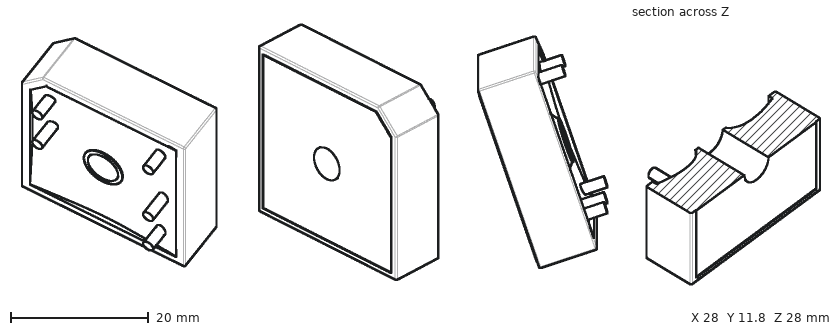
import cadquery as cq
import math


side = 28.0
total_depth = 11.8
pin_length = 2.8
corner_cut = 3.65
edge_round = 0.25

rim_width = 1.48
plate_inset = 1.0
plate_step = 0.1

hole_diameter = 5.18
tube_diameter = 6.6
pin_diameter = 1.75
pin_offset_x = 9.5
pin_outer_z = 9.0
pin_inner_z = 2.02

potting_depth_at_tube = 0.17
potting_depth_at_corner = 0.05
potting_points = [(5.05, 1.3), (7.28, 1.6), (9.72, 1.4), (12.6, 0.75), (15.4, 0.35)]

pin_tip_y = -total_depth / 2
rim_y = pin_tip_y + pin_length
plate_y = total_depth / 2
case_back_y = plate_y - plate_step
inside_y = (rim_y + case_back_y) / 2


def cut_corner_block(inset, front_y, back_y):
    """Square block along Y, evenly inset from the case outline, with its -X, +Z corner cut."""
    width = side - 2 * inset
    corner_leg = corner_cut - inset * (2 - math.sqrt(2))
    block = cq.Workplane("XY").box(width, back_y - front_y, width)
    block = block.edges("|Y").edges("<X and >Z").chamfer(corner_leg)
    return block.translate((0, (front_y + back_y) / 2, 0))


def rod(diameter, x, z, front_y, back_y):
    """Cylinder along Y centred on x, z."""
    length = back_y - front_y
    return cq.Workplane("XZ", origin=(x, back_y, z)).circle(diameter / 2).extrude(length)


def potting_hollow():
    """Space between the rim plane and the potting surface, bounded by the tube and the cavity walls."""
    tube_radius = tube_diameter / 2
    corner_radius = math.sqrt(2) * (side / 2 - rim_width)
    surface = [(radius, rim_y + depth) for radius, depth in potting_points]
    surface.append((corner_radius, rim_y + potting_depth_at_corner))
    bowl = (
        cq.Workplane("XY")
        .moveTo(tube_radius, rim_y)
        .lineTo(tube_radius, rim_y + potting_depth_at_tube)
        .spline(surface, includeCurrent=True)
        .lineTo(corner_radius, rim_y)
        .close()
        .revolve(360, (0, 0, 0), (0, 1, 0))
    )
    return bowl.intersect(cut_corner_block(rim_width, rim_y, inside_y))


case = cut_corner_block(0, rim_y, case_back_y).edges().fillet(edge_round)
result = case.cut(potting_hollow())

result = result.union(cut_corner_block(plate_inset, inside_y, plate_y))

pin_places = [
    (-pin_offset_x, pin_outer_z),
    (-pin_offset_x, pin_inner_z),
    (pin_offset_x, pin_outer_z),
    (pin_offset_x, -pin_inner_z),
    (pin_offset_x, -pin_outer_z),
]
for pin_x, pin_z in pin_places:
    result = result.union(rod(pin_diameter, pin_x, pin_z, pin_tip_y, inside_y))

result = result.cut(rod(hole_diameter, 0, 0, rim_y, plate_y))